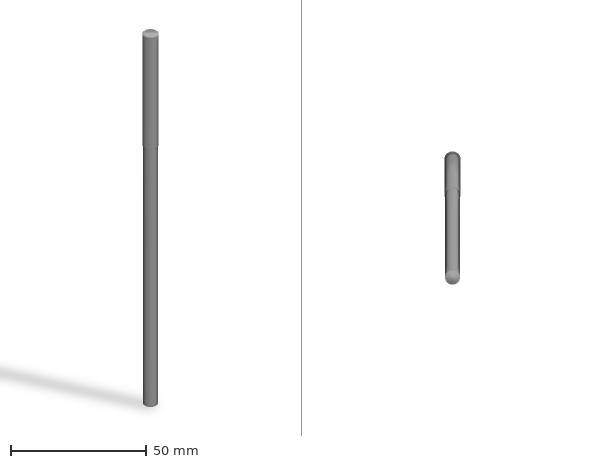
import cadquery as cq
import math

overall_length = 160.0
shank_diameter = 6.0
shank_length = 48.0
shank_chamfer = 0.3
cutting_diameter = 5.5
cutting_length = 99.0
point_angle = 140.0

cutting_radius = cutting_diameter / 2
shank_radius = shank_diameter / 2
point_height = cutting_radius / math.tan(math.radians(point_angle / 2))
shank_start = overall_length - shank_length


def revolve_about_z(profile):
    """Revolve a closed XZ profile a full turn about the Z axis."""
    return profile.close().revolve(360, (0, 0, 0), (0, 1, 0))


def make_cutting_part():
    """Plain cylindrical cutting part ending in a conical point."""
    profile = (
        cq.Workplane("XZ")
        .lineTo(-cutting_radius, point_height)
        .lineTo(-cutting_radius, cutting_length)
        .lineTo(0, cutting_length)
    )
    return revolve_about_z(profile)


def make_holder():
    """Shank with a neck that continues the cutting diameter down to the cutting part."""
    profile = (
        cq.Workplane("YZ")
        .moveTo(0, cutting_length)
        .lineTo(-cutting_radius, cutting_length)
        .lineTo(-cutting_radius, shank_start)
        .lineTo(-shank_radius, shank_start)
        .lineTo(-shank_radius, overall_length - shank_chamfer)
        .lineTo(-shank_radius + shank_chamfer, overall_length)
        .lineTo(0, overall_length)
    )
    return revolve_about_z(profile)


cutting_part = make_cutting_part()
holder = make_holder()

result = cq.Compound.makeCompound([cutting_part.val(), holder.val()])